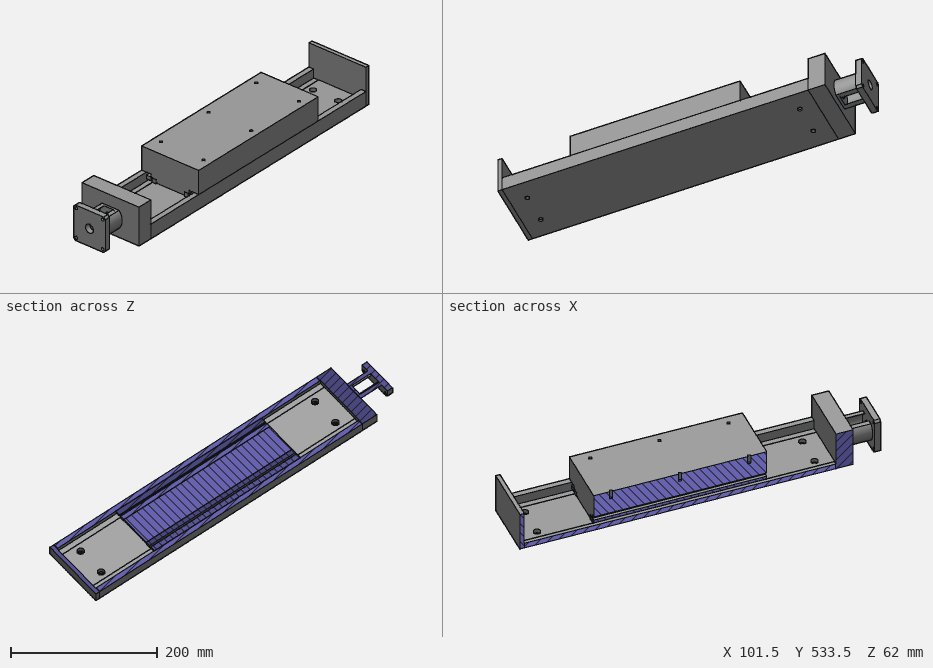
import cadquery as cq
width = 101.5
length = 533.5
height = 62.0
front_y = -length / 2
back_y = length / 2

flange_thickness = 9.0
motor_mount_length = 45.0
end_block_thickness = 25.0
end_plate_thickness = 6.5
flange_back_y = front_y + flange_thickness
mount_back_y = front_y + motor_mount_length
base_front_y = mount_back_y + end_block_thickness
base_back_y = back_y - end_plate_thickness
travel_center_y = (base_front_y + base_back_y) / 2

base_height = 23.5
wall_thickness = 8.5
floor_z = 9.0
pad_top_z = 9.5
pad_width = 67.0
channel_half_width = width / 2 - wall_thickness
base_hole_spacing = 45.0
base_hole_inset = 25.0
base_hole_diameter = 6.5
counterbore_diameter = 10.0
counterbore_depth = 6.5

carriage_length = 254.0
keel_width = 50.0
keel_bottom_z = 13.0
shoulder_width = 67.0
shoulder_z = 18.0
carriage_hole_spacing_x = 76.0
carriage_hole_spacing_y = 101.5
carriage_hole_diameter = 4.5
carriage_hole_depth = 13.0
carriage_front_y = travel_center_y - carriage_length / 2
carriage_back_y = travel_center_y + carriage_length / 2

bearing_width = 7.0
bearing_bottom_z = 11.0
rail_width = 8.0
rail_bottom_z = 13.0
rail_top_z = 18.5

motor_axis_z = 29.0
flange_size = 56.5
flange_chamfer = 3.0
pilot_diameter = 14.0
flange_hole_spacing = 47.0
flange_hole_diameter = 4.5
tube_diameter = 41.5
tube_bore_diameter = 33.0
tube_top_flat = 14.5
tube_bottom_flat = 15.0
tube_end_wall = 4.0
shaft_hole_diameter = 14.0


def block(x_range, y_range, z_range):
    """Axis-aligned box between the given limits."""
    x0, x1 = x_range
    y0, y1 = y_range
    z0, z1 = z_range
    return cq.Workplane("XY", origin=(x0, y0, z0)).box(x1 - x0, y1 - y0, z1 - z0, centered=False)


def centered_block(size_x, y_range, z_range):
    """Box that is symmetric about X = 0."""
    return block((-size_x / 2, size_x / 2), y_range, z_range)


def cylinder_along_y(diameter, y_range):
    """Cylinder on the motor axis between two Y stations."""
    y0, y1 = y_range
    plane = cq.Workplane("XZ", origin=(0, y0, motor_axis_z))
    return plane.circle(diameter / 2).extrude(y0 - y1)


def make_base():
    span = (base_front_y, base_back_y)
    body = centered_block(width, span, (0, base_height))
    body = body.cut(centered_block(2 * channel_half_width, span, (floor_z, base_height)))
    body = body.union(centered_block(pad_width, span, (0, pad_top_z)))
    hole_points = [
        (x, y)
        for x in (-base_hole_spacing / 2, base_hole_spacing / 2)
        for y in (base_front_y + base_hole_inset, base_back_y - base_hole_inset)
    ]
    pad_plane = cq.Workplane("XY", origin=(0, 0, pad_top_z)).pushPoints(hole_points)
    holes = pad_plane.circle(base_hole_diameter / 2).extrude(-pad_top_z)
    counterbores = pad_plane.circle(counterbore_diameter / 2).extrude(-counterbore_depth)
    return body.cut(holes).cut(counterbores)


def make_end_plate():
    return centered_block(width, (base_back_y, back_y), (0, height))


def make_end_block():
    return centered_block(width, (mount_back_y, base_front_y), (0, height))


def make_carriage():
    span = (carriage_front_y, carriage_back_y)
    body = centered_block(width, span, (base_height, height))
    body = body.union(centered_block(shoulder_width, span, (shoulder_z, base_height)))
    body = body.union(centered_block(keel_width, span, (keel_bottom_z, base_height)))
    holes = (
        cq.Workplane("XY", origin=(0, travel_center_y, height))
        .rarray(carriage_hole_spacing_x, carriage_hole_spacing_y, 2, 3)
        .circle(carriage_hole_diameter / 2)
        .extrude(-carriage_hole_depth)
    )
    return body.cut(holes)


def make_bearing(side):
    """Bar against the keel flank and under the shoulder; side is -1 or +1."""
    inner = keel_width / 2
    x_range = sorted((side * inner, side * (inner + bearing_width)))
    return block(x_range, (carriage_front_y, carriage_back_y), (bearing_bottom_z, shoulder_z))


def make_rail(side):
    """Bar on the inner face of a channel wall; side is -1 or +1."""
    outer = channel_half_width
    x_range = sorted((side * outer, side * (outer - rail_width)))
    return block(x_range, (carriage_front_y, carriage_back_y), (rail_bottom_z, rail_top_z))


def make_motor_mount():
    tube_span = (flange_back_y, mount_back_y)
    flats = (motor_axis_z - tube_bottom_flat, motor_axis_z + tube_top_flat)
    tube = cylinder_along_y(tube_diameter, tube_span)
    tube = tube.intersect(centered_block(tube_diameter, tube_span, flats))
    tube = tube.cut(cylinder_along_y(tube_bore_diameter, (flange_back_y, mount_back_y - tube_end_wall)))
    tube = tube.cut(cylinder_along_y(shaft_hole_diameter, tube_span))

    flange_z = (motor_axis_z - flange_size / 2, motor_axis_z + flange_size / 2)
    flange = centered_block(flange_size, (front_y, flange_back_y), flange_z)
    flange = flange.edges("|Y").chamfer(flange_chamfer)
    flange = flange.cut(cylinder_along_y(pilot_diameter, (front_y, flange_back_y)))
    screw_holes = (
        cq.Workplane("XZ", origin=(0, front_y, motor_axis_z))
        .rarray(flange_hole_spacing, flange_hole_spacing, 2, 2)
        .circle(flange_hole_diameter / 2)
        .extrude(-flange_thickness)
    )
    return tube.union(flange.cut(screw_holes))


base = make_base()
end_plate = make_end_plate()
end_block = make_end_block()
carriage = make_carriage()
motor_mount = make_motor_mount()

bearings = []
rails = []
for side in (-1, 1):
    bearings.append(make_bearing(side).val())
    rails.append(make_rail(side).val())

result = cq.Compound.makeCompound(
    [
        base.val(),
        end_plate.val(),
        end_block.val(),
        carriage.val(),
        motor_mount.val(),
        *bearings,
        *rails,
    ]
)